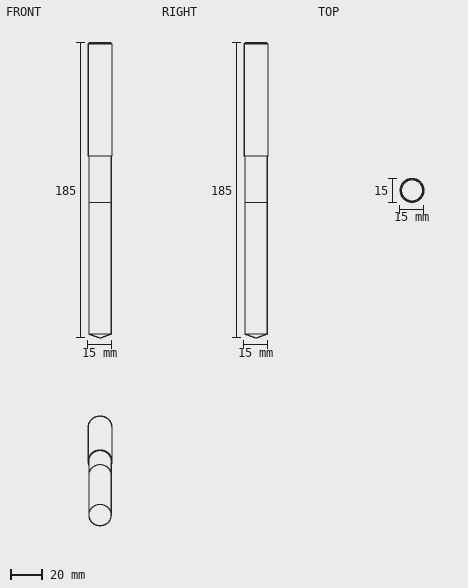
import cadquery as cq
import math

total_length = 185.0
shank_diameter = 15.0
shank_length = 71.0
shank_chamfer = 1.0
drill_diameter = 14.0
cutter_length = 85.0
point_angle = 140.0

shank_radius = shank_diameter / 2
drill_radius = drill_diameter / 2
shank_bottom = total_length - shank_length
point_height = drill_radius / math.tan(math.radians(point_angle / 2))


def make_cutter():
    """Lower cylinder with a conical point, its profile drawn on the -X side."""
    return (
        cq.Workplane("XZ")
        .lineTo(-drill_radius, point_height)
        .lineTo(-drill_radius, cutter_length)
        .lineTo(0, cutter_length)
        .close()
        .revolve(360, (0, 0), (0, 1))
    )


def make_shank():
    """Chamfered shank with a thinner neck, its profile drawn on the -Y side."""
    return (
        cq.Workplane("YZ")
        .moveTo(0, cutter_length)
        .lineTo(-drill_radius, cutter_length)
        .lineTo(-drill_radius, shank_bottom)
        .lineTo(-shank_radius, shank_bottom)
        .lineTo(-shank_radius, total_length - shank_chamfer)
        .lineTo(-shank_radius + shank_chamfer, total_length)
        .lineTo(0, total_length)
        .close()
        .revolve(360, (0, 0), (0, 1))
    )


cutter = make_cutter()
shank = make_shank()

result = cq.Compound.makeCompound([cutter.val(), shank.val()])